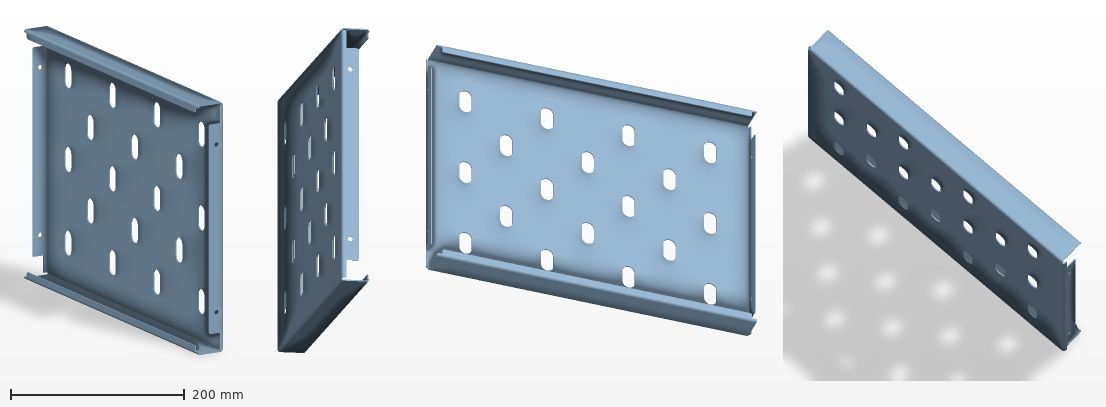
import cadquery as cq

width = 398.0
depth = 33.0
height = 298.0

sheet = 1.4
bend_radius = 3.0
inner_radius = bend_radius - sheet
corner_notch = 3.0

side_depth = 20.0
side_length = 250.0
side_shoulder = 5.0
side_corner_radius = 2.0

lip_height = 10.0
lip_inset = 6.5
lip_corner_radius = 2.0

hole_diameter = 5.5
hole_spacing = 200.0
hole_setback = 10.0

slot_width = 15.0
slot_length = 30.0
slot_pitch = 100.0
slot_rows = 5
long_row_count = 4

back = depth / 2
front = -depth / 2
wall_length = width - 2 * corner_notch
side_span = height - 2 * corner_notch


def block(x_size, y_size, z_size, y_back):
    """Box centred in X and Z whose rear face lies at y_back."""
    return cq.Workplane("XY").box(x_size, y_size, z_size).translate((0, y_back - y_size / 2, 0))


def make_side_channel():
    """Panel with its two side flanges, bent about vertical lines."""
    outer = block(width, side_depth, side_span, back).edges("|Z and >Y").fillet(bend_radius)
    inner = block(width - 2 * sheet, side_depth, side_span, back - sheet)
    channel = outer.cut(inner.edges("|Z and >Y").fillet(inner_radius))
    shoulder = block(width, side_shoulder, side_span, back)
    ear = block(width, side_depth, side_length, back).edges("|X and <Y").fillet(side_corner_radius)
    return channel.intersect(shoulder.union(ear))


def make_wall_channel():
    """Panel with its top and bottom walls and their inturned lips."""
    outer = block(wall_length, depth, height, back).edges("|X").fillet(bend_radius)
    inner = block(wall_length, depth - 2 * sheet, height - 2 * sheet, back - sheet)
    channel = outer.cut(inner.edges("|X").fillet(inner_radius))

    lip_step = lip_height - corner_notch
    window = block(width, sheet, side_span, front + sheet)
    for side in (1, -1):
        lip = block(wall_length - 2 * lip_inset, sheet, lip_step, front + sheet)
        window = window.cut(lip.translate((0, 0, side * (side_span - lip_step) / 2)))
    return channel.cut(window.edges("|Y").fillet(lip_corner_radius))


def make_slots():
    """Vertical slots in rows that alternate between four and three."""
    points = []
    for row in range(slot_rows):
        count = long_row_count - row % 2
        z = (row - (slot_rows - 1) / 2) * slot_pitch / 2
        for column in range(count):
            points.append(((column - (count - 1) / 2) * slot_pitch, z))
    return cq.Workplane("XZ").pushPoints(points).slot2D(slot_length, slot_width, 90).extrude(depth, both=True)


def make_side_holes():
    """Cylinders through both side flanges."""
    y = back - hole_setback
    points = [(y, side * hole_spacing / 2) for side in (1, -1)]
    return cq.Workplane("YZ").pushPoints(points).circle(hole_diameter / 2).extrude(width, both=True)


tray = make_side_channel().union(make_wall_channel())
result = tray.cut(make_slots()).cut(make_side_holes())